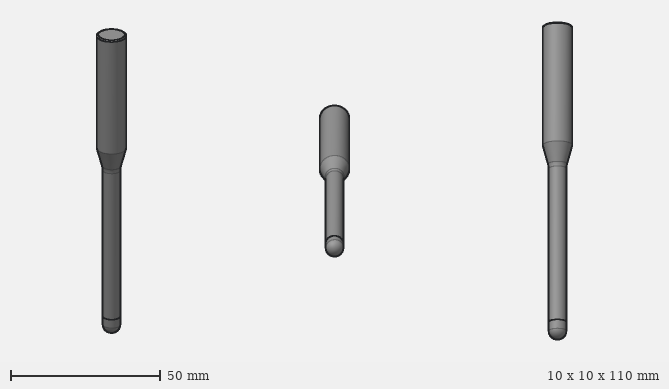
import cadquery as cq
import math

total_length = 110.0
shank_diameter = 10.0
neck_diameter = 6.0
tip_length = 6.0
neck_top_height = 60.1
taper_angle = math.radians(15.0)
blend_radius = 6.0
chamfer_width = 0.5
chamfer_height = 0.4

shank_radius = shank_diameter / 2
neck_radius = neck_diameter / 2
bottom_z = -total_length / 2
top_z = total_length / 2
ball_center_z = bottom_z + neck_radius
joint_z = bottom_z + tip_length
neck_top_z = bottom_z + neck_top_height


def blend_point(angle):
    """Radius and height on the neck fillet after turning outward by the given angle."""
    radius = neck_radius + blend_radius * (1 - math.cos(angle))
    height = neck_top_z + blend_radius * math.sin(angle)
    return radius, height


def outline_point(radius, height):
    """Place an outline point on the -Y side of the axis."""
    return -radius, height


def revolve_about_axis(outline):
    return outline.close().revolve(360, (0, 0, 0), (0, 1, 0))


def make_ball_tip():
    """Short cylinder ending in a hemisphere."""
    ball_middle = neck_radius * math.sqrt(0.5)
    outline = (
        cq.Workplane("YZ")
        .moveTo(*outline_point(0, bottom_z))
        .threePointArc(
            outline_point(ball_middle, ball_center_z - ball_middle),
            outline_point(neck_radius, ball_center_z),
        )
        .lineTo(*outline_point(neck_radius, joint_z))
        .lineTo(*outline_point(0, joint_z))
    )
    return revolve_about_axis(outline)


def make_holder():
    """Straight neck, blended cone and chamfered shank."""
    cone_start_radius, cone_start_z = blend_point(taper_angle)
    cone_top_z = cone_start_z + (shank_radius - cone_start_radius) / math.tan(taper_angle)
    outline = (
        cq.Workplane("YZ")
        .moveTo(*outline_point(0, joint_z))
        .lineTo(*outline_point(neck_radius, joint_z))
        .lineTo(*outline_point(neck_radius, neck_top_z))
        .threePointArc(
            outline_point(*blend_point(taper_angle / 2)),
            outline_point(cone_start_radius, cone_start_z),
        )
        .lineTo(*outline_point(shank_radius, cone_top_z))
        .lineTo(*outline_point(shank_radius, top_z - chamfer_height))
        .lineTo(*outline_point(shank_radius - chamfer_width, top_z))
        .lineTo(*outline_point(0, top_z))
    )
    return revolve_about_axis(outline)


ball_tip = make_ball_tip()
holder = make_holder()
result = cq.Compound.makeCompound([ball_tip.val(), holder.val()])